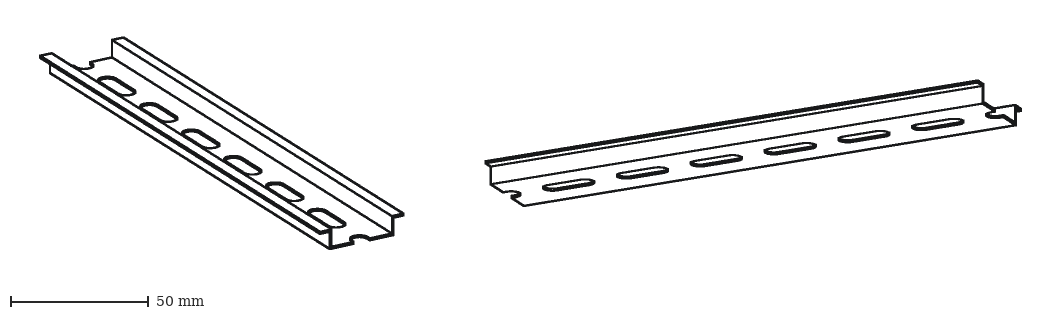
import cadquery as cq

length = 200.0
width = 35.2
height = 7.5
thickness = 0.8

channel_width = 27.0

slot_length = 20.0
slot_width = 6.8
slot_pitch = 30.0
slot_count = 8


def rail_body():
    """Channel with outward flanges, extruded along X and centred on it."""
    half_width = width / 2
    half_channel = channel_width / 2
    half_inside = half_channel - thickness
    flange_bottom = height - thickness
    right_half = [
        (half_channel, 0),
        (half_channel, flange_bottom),
        (half_width, flange_bottom),
        (half_width, height),
        (half_inside, height),
        (half_inside, thickness),
    ]
    left_half = [(-y, z) for y, z in reversed(right_half)]
    return (
        cq.Workplane("YZ")
        .polyline(right_half + left_half)
        .close()
        .extrude(length / 2, both=True)
    )


def floor_slots():
    """Row of round-ended cutters through the channel floor."""
    return (
        cq.Workplane("XY")
        .rarray(slot_pitch, 2, slot_count, 1)
        .slot2D(slot_length, slot_width)
        .extrude(thickness)
    )


result = rail_body().cut(floor_slots())